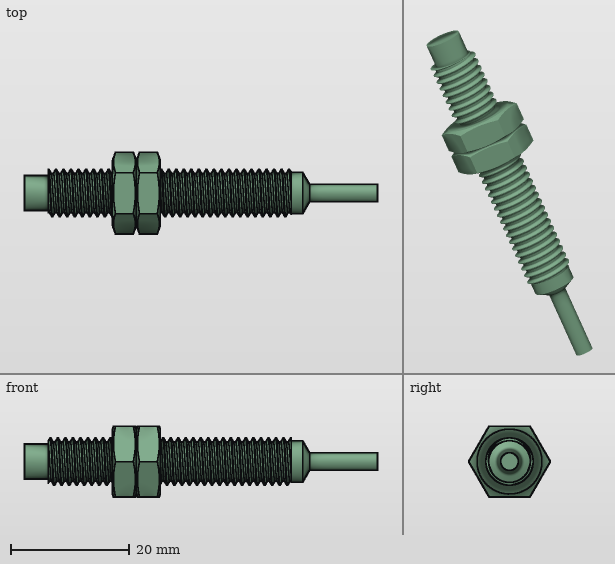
import cadquery as cq
import math

total_length = 59.6
tip_radius = 3.0
thread_start = 4.0
thread_end = 45.0
collar_radius = 3.5
collar_end = 47.0
cone_half_angle = 60.0
cable_radius = 1.5

thread_turns = 32.3
crest_radius = 4.0
root_radius = 3.35
crest_width = 0.1
flank_angle = 30.0
crest_offset = 0.05

nut_start = 14.85
nut_width = 4.05
nut_count = 2
across_flats = 12.0
nut_face_radius = 5.5
nut_chamfer_angle = 20.0

thread_pitch = (thread_end - thread_start) / thread_turns
across_corners = across_flats / math.cos(math.pi / 6)


def cylinder_along_x(radius, start, end):
    return cq.Workplane("YZ", origin=(start, 0, 0)).circle(radius).extrude(end - start)


def make_thread_ridge():
    """Helical ridge with a trapezoid section, running past the thread at each end."""
    embed = 0.1
    spare_turns = 2
    half_crest = crest_width / 2
    base_radius = root_radius - embed
    half_base = half_crest + (crest_radius - base_radius) * math.tan(math.radians(flank_angle))
    helix_length = (math.ceil(thread_turns) + 2 * spare_turns) * thread_pitch
    helix_start = thread_start + crest_offset - spare_turns * thread_pitch

    helix = cq.Wire.makeHelix(thread_pitch, helix_length, root_radius)
    section = cq.Workplane("XZ").polyline([
        (base_radius, -half_base),
        (crest_radius, -half_crest),
        (crest_radius, half_crest),
        (base_radius, half_base),
    ]).close()
    ridge = section.sweep(cq.Workplane(helix), isFrenet=True)
    ridge = ridge.rotate((0, 0, 0), (1, 1, 1), 120)
    return ridge.translate((helix_start, 0, 0))


def make_sensor():
    """Tip, threaded barrel, collar, cone and cable as one body."""
    cone_length = (collar_radius - cable_radius) / math.tan(math.radians(cone_half_angle))
    cone_end = collar_end + cone_length
    core = (
        cq.Workplane("XZ")
        .polyline([
            (0, 0),
            (0, tip_radius),
            (thread_start, tip_radius),
            (thread_start, root_radius),
            (thread_end, root_radius),
            (thread_end, collar_radius),
            (collar_end, collar_radius),
            (cone_end, cable_radius),
            (total_length, cable_radius),
            (total_length, 0),
        ])
        .close()
        .revolve(360, (0, 0, 0), (1, 0, 0))
    )
    trim = cylinder_along_x(2 * crest_radius, thread_start, thread_end)
    return core.union(make_thread_ridge().intersect(trim))


def make_nut_blank(start):
    """Hexagon with flats facing +Z and -Z, its corners chamfered at both faces."""
    corner_radius = across_corners / 2
    chamfer = (corner_radius - nut_face_radius) * math.tan(math.radians(nut_chamfer_angle))
    hexagon = cq.Workplane("YZ", origin=(start, 0, 0)).polygon(6, across_corners).extrude(nut_width)
    envelope = (
        cq.Workplane("XY")
        .polyline([
            (start, 0),
            (start, nut_face_radius),
            (start + chamfer, corner_radius),
            (start + nut_width - chamfer, corner_radius),
            (start + nut_width, nut_face_radius),
            (start + nut_width, 0),
        ])
        .close()
        .revolve(360, (0, 0, 0), (1, 0, 0))
    )
    return hexagon.intersect(envelope)


def make_nut_pair(sensor):
    """The nuts joined at their touching faces, with a bore that matches the sensor thread."""
    pair = make_nut_blank(nut_start)
    for index in range(1, nut_count):
        pair = pair.union(make_nut_blank(nut_start + index * nut_width))
    return pair.cut(sensor)


sensor = make_sensor()
nut_pair = make_nut_pair(sensor)
result = cq.Compound.makeCompound([*sensor.solids().vals(), *nut_pair.solids().vals()])